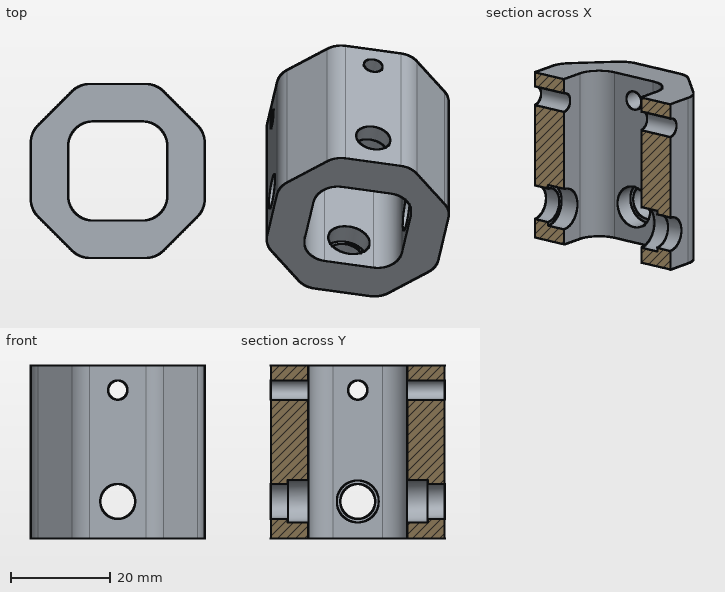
import cadquery as cq

width = 35.2
height = 35.0
corner_cut = 9.85
edge_radius = 5.0
bore_width = 20.0
small_hole_diameter = 3.85
small_hole_drop = 5.0
large_hole_diameter = 7.0
large_hole_rise = 7.5
recess_diameter = 8.5
recess_lip = 3.5


def make_body():
    """Octagonal prism with rounded vertical edges."""
    prism = cq.Workplane("XY").rect(width, width).extrude(height)
    return prism.edges("|Z").chamfer(corner_cut).edges("|Z").fillet(edge_radius)


def make_bore():
    """Square through bore with rounded corners."""
    bore = cq.Workplane("XY").rect(bore_width, bore_width).extrude(height)
    return bore.edges("|Z").fillet(edge_radius)


def make_cross_hole(plane, diameter, level):
    """Cylinder crossing the whole part at the given height."""
    sketch = cq.Workplane(plane).center(0, level).circle(diameter / 2)
    return sketch.extrude(width / 2, both=True)


def make_recess(plane):
    """Wider inner stretch of a large hole, opening into the bore from both walls."""
    sketch = cq.Workplane(plane).center(0, large_hole_rise).circle(recess_diameter / 2)
    return sketch.extrude(width / 2 - recess_lip, both=True)


result = make_body().cut(make_bore())

for plane in ("XZ", "YZ"):
    result = result.cut(make_cross_hole(plane, small_hole_diameter, height - small_hole_drop))
    result = result.cut(make_cross_hole(plane, large_hole_diameter, large_hole_rise))
    result = result.cut(make_recess(plane))